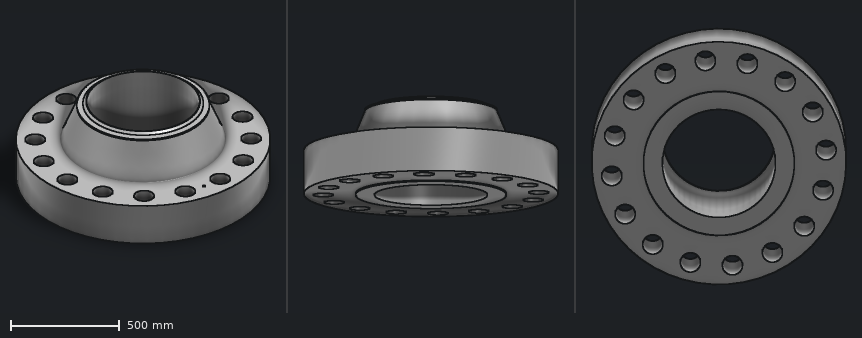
import cadquery as cq
import math

flange_diameter = 1168.0
flange_thickness = 203.0
raised_face_diameter = 693.0
raised_face_height = 6.0

overall_height = 412.0
bore_diameter = 519.0
hub_base_diameter = 760.0
hub_neck_diameter = 610.0
hub_base_fillet = 5.0
weld_land_width = 2.0
steep_bevel_width = 15.0
steep_bevel_angle = 37.5
shallow_bevel_angle = 10.0
neck_band_height = 7.0

bolt_count = 16
bolt_circle_diameter = 990.0
bolt_hole_diameter = 92.0

small_hole_diameter = 12.0
small_hole_depth = 23.0

flange_back = raised_face_height + flange_thickness


def make_body():
    """Revolve the flange, hub and weld end about Z around the open bore, then round the hub base."""
    bore_radius = bore_diameter / 2
    neck_radius = hub_neck_diameter / 2
    land_radius = bore_radius + weld_land_width
    bevel_radius = land_radius + steep_bevel_width
    steep_drop = steep_bevel_width * math.tan(math.radians(steep_bevel_angle))
    shallow_drop = (neck_radius - bevel_radius) * math.tan(math.radians(shallow_bevel_angle))
    bevel_z = overall_height - steep_drop
    neck_top = bevel_z - shallow_drop
    profile = [
        (bore_radius, 0),
        (raised_face_diameter / 2, 0),
        (raised_face_diameter / 2, raised_face_height),
        (flange_diameter / 2, raised_face_height),
        (flange_diameter / 2, flange_back),
        (hub_base_diameter / 2, flange_back),
        (neck_radius, neck_top - neck_band_height),
        (neck_radius, neck_top),
        (bevel_radius, bevel_z),
        (land_radius, overall_height),
        (bore_radius, overall_height),
    ]
    body = cq.Workplane("XZ").polyline(profile).close().revolve(360, (0, 0, 0), (0, 1, 0))
    hub_base = cq.selectors.RadiusNthSelector(-2)
    return body.edges(hub_base).fillet(hub_base_fillet)


def cut_bolt_holes(body):
    """Drill the ring of bolt holes through the flange."""
    holes = (
        cq.Workplane("XY")
        .polarArray(bolt_circle_diameter / 2, 0, 360, bolt_count)
        .circle(bolt_hole_diameter / 2)
        .extrude(flange_back)
    )
    return body.cut(holes)


def cut_small_hole(body):
    """Drill the small hole down from the flange back, half a bolt pitch from +X."""
    half_pitch = math.radians(360 / bolt_count / 2)
    radius = bolt_circle_diameter / 2
    drill = (
        cq.Workplane("XY")
        .workplane(offset=flange_back - small_hole_depth)
        .center(radius * math.cos(half_pitch), radius * math.sin(half_pitch))
        .circle(small_hole_diameter / 2)
        .extrude(small_hole_depth)
    )
    return body.cut(drill)


result = cut_small_hole(cut_bolt_holes(make_body()))